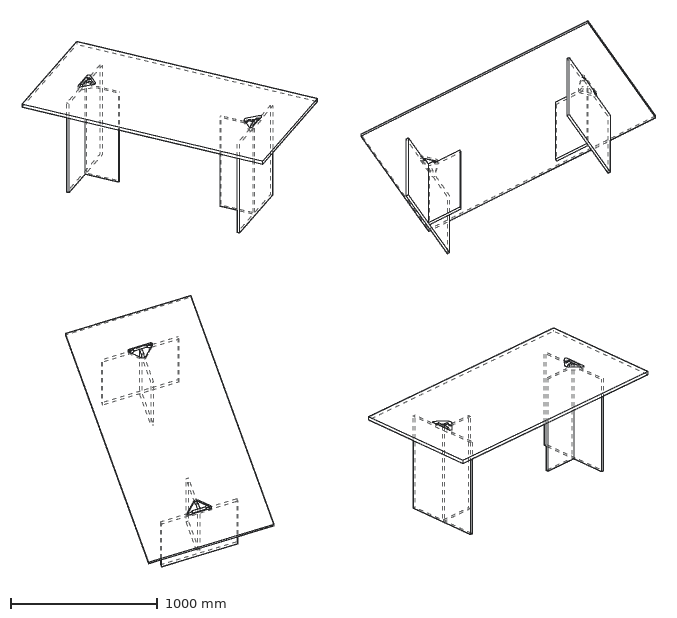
import cadquery as cq
import math

TOP_LENGTH = 1800.0
TOP_WIDTH = 900.0
TOTAL_HEIGHT = 736.0
TOP_THICKNESS = 25.0
LEG_HEIGHT = TOTAL_HEIGHT - TOP_THICKNESS

BOARD_THICKNESS = 18.0
LEG_OUTER_X = 646.0
WEB_START_X = LEG_OUTER_X - BOARD_THICKNESS
WEB_END_X = 378.0
PANEL_WIDTH = 547.0

OPENING_OUTER_X = 652.0
OPENING_APEX_X = 549.0
OPENING_HALF_WIDTH = OPENING_OUTER_X - OPENING_APEX_X
OPENING_APEX_RADIUS = 25.0
OPENING_CORNER_RADIUS = 10.0

FLARE_RADIUS = TOP_THICKNESS
PANEL_TONGUE_HALF_WIDTH = 49.0
WEB_TONGUE_END_X = 589.0


def make_opening(side):
    """Rounded triangular cutter through the tabletop; side is -1 or +1 along X."""
    apex_edge = "|Z and <X" if side > 0 else "|Z and >X"
    outer_edges = "|Z and >X" if side > 0 else "|Z and <X"
    return (
        cq.Workplane("XY")
        .workplane(offset=LEG_HEIGHT)
        .moveTo(side * OPENING_APEX_X, 0)
        .lineTo(side * OPENING_OUTER_X, OPENING_HALF_WIDTH)
        .lineTo(side * OPENING_OUTER_X, -OPENING_HALF_WIDTH)
        .close()
        .extrude(TOP_THICKNESS)
        .edges(apex_edge)
        .fillet(OPENING_APEX_RADIUS)
        .edges(outer_edges)
        .fillet(OPENING_CORNER_RADIUS)
    )


def make_tabletop():
    """Flat board with one triangular opening over each leg."""
    board = (
        cq.Workplane("XY")
        .workplane(offset=LEG_HEIGHT)
        .rect(TOP_LENGTH, TOP_WIDTH)
        .extrude(TOP_THICKNESS)
    )
    for side in (-1, 1):
        board = board.cut(make_opening(side))
    return board


def draw_flare(outline, edge, direction, upward=False):
    """Add the concave quarter circle joining the tongue top at edge to the board's top edge."""
    arc_offset = FLARE_RADIUS * (1 - math.sqrt(0.5))
    middle = (edge + direction * arc_offset, LEG_HEIGHT + arc_offset)
    tongue_corner = (edge, TOTAL_HEIGHT)
    foot = (edge + direction * FLARE_RADIUS, LEG_HEIGHT)
    return outline.threePointArc(middle, tongue_corner if upward else foot)


def make_panel(side):
    """Wide cross panel with a central tongue flared at both ends."""
    start_x = side * (LEG_OUTER_X - BOARD_THICKNESS / 2) - BOARD_THICKNESS / 2
    half_width = PANEL_WIDTH / 2
    outline = (
        cq.Workplane("YZ", origin=(start_x, 0, 0))
        .moveTo(-PANEL_TONGUE_HALF_WIDTH, TOTAL_HEIGHT)
        .lineTo(PANEL_TONGUE_HALF_WIDTH, TOTAL_HEIGHT)
    )
    outline = draw_flare(outline, PANEL_TONGUE_HALF_WIDTH, 1)
    outline = (
        outline.lineTo(half_width, LEG_HEIGHT)
        .lineTo(half_width, 0)
        .lineTo(-half_width, 0)
        .lineTo(-half_width, LEG_HEIGHT)
        .lineTo(-PANEL_TONGUE_HALF_WIDTH - FLARE_RADIUS, LEG_HEIGHT)
    )
    outline = draw_flare(outline, -PANEL_TONGUE_HALF_WIDTH, -1, upward=True)
    return outline.close().extrude(BOARD_THICKNESS)


def make_web(side):
    """Web from the panel's inner face towards the centre, tongue flared at its inner end."""
    outline = (
        cq.Workplane("XZ", origin=(0, BOARD_THICKNESS / 2, 0))
        .moveTo(side * WEB_START_X, 0)
        .lineTo(side * WEB_START_X, TOTAL_HEIGHT)
        .lineTo(side * WEB_TONGUE_END_X, TOTAL_HEIGHT)
    )
    outline = draw_flare(outline, side * WEB_TONGUE_END_X, -side)
    return (
        outline.lineTo(side * WEB_END_X, LEG_HEIGHT)
        .lineTo(side * WEB_END_X, 0)
        .close()
        .extrude(BOARD_THICKNESS)
    )


tabletop = make_tabletop()
panels = [make_panel(side).val() for side in (-1, 1)]
webs = [make_web(side).val() for side in (-1, 1)]

result = cq.Compound.makeCompound([tabletop.val(), *panels, *webs])